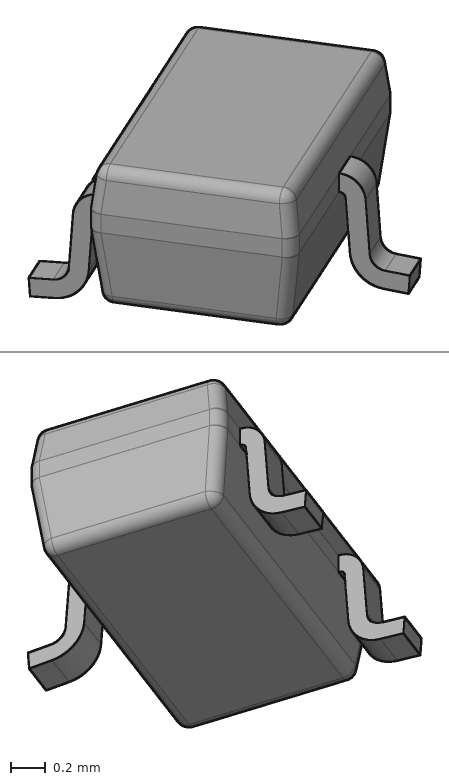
import cadquery as cq
import math

lead_span = 2.1
total_height = 1.0

body_width = 1.25
body_length = 2.0
body_standoff = 0.1
draft_angle = 7.0
edge_radius = 0.08

lead_thickness = 0.12
lead_width = 0.225
lead_pitch = 1.3
lead_top = 0.72
lead_tilt = 4.0
shoulder_radius = 0.16
ankle_radius = 0.1

belt_bottom = lead_top - lead_thickness


def make_housing():
    """Belt with a drafted block above and below, and all outer edges rounded."""
    def belt_outline(z):
        return cq.Workplane("XY").workplane(offset=z).rect(body_width, body_length)

    belt = belt_outline(belt_bottom).extrude(lead_thickness)
    upper = belt_outline(lead_top).extrude(total_height - lead_top, taper=draft_angle)
    lower = belt_outline(belt_bottom).extrude(body_standoff - belt_bottom, taper=draft_angle)
    block = belt.union(upper).union(lower)

    corner_edges = block.edges("not #Z")
    rim_edges = block.faces("<Z or >Z").edges()
    return corner_edges.add(rim_edges).fillet(edge_radius).solids()


def make_lead():
    """Right-hand lead centred on Y = 0: shoulder bend, leg, ankle bend, foot."""
    tilt = math.radians(lead_tilt)
    cos_t = math.cos(tilt)
    sin_t = math.sin(tilt)
    side = body_width / 2

    bend_run = shoulder_radius * cos_t + ankle_radius * (cos_t - sin_t)
    bend_drop = shoulder_radius * (1 - sin_t) + ankle_radius * (cos_t - sin_t)
    straight_run = lead_span / 2 - side - bend_run
    straight_drop = lead_top - bend_drop - lead_thickness * cos_t
    determinant = cos_t**2 - sin_t**2
    leg = (straight_drop * cos_t - straight_run * sin_t) / determinant
    foot = (straight_run * cos_t - straight_drop * sin_t) / determinant

    shoulder_x = side
    shoulder_z = lead_top - shoulder_radius
    ankle_x = shoulder_x + (shoulder_radius + ankle_radius) * cos_t + leg * sin_t
    ankle_z = shoulder_z + (shoulder_radius + ankle_radius) * sin_t - leg * cos_t

    def shoulder(radius, angle):
        return (shoulder_x + radius * math.cos(angle), shoulder_z + radius * math.sin(angle))

    def ankle(radius, angle):
        return (ankle_x + radius * math.cos(angle), ankle_z + radius * math.sin(angle))

    leg_angle = tilt
    up_angle = math.pi / 2
    shoulder_mid = (leg_angle + up_angle) / 2
    ankle_start = math.pi + tilt
    ankle_end = 1.5 * math.pi - tilt
    ankle_mid = (ankle_start + ankle_end) / 2
    shoulder_inner = shoulder_radius - lead_thickness
    ankle_outer = ankle_radius + lead_thickness

    foot_start_x, foot_start_z = ankle(ankle_radius, ankle_end)
    toe_top = (foot_start_x + foot * cos_t, foot_start_z - foot * sin_t)
    toe_bottom = (toe_top[0] - lead_thickness * sin_t, toe_top[1] - lead_thickness * cos_t)

    return (
        cq.Workplane("XZ")
        .moveTo(*shoulder(shoulder_radius, up_angle))
        .threePointArc(shoulder(shoulder_radius, shoulder_mid), shoulder(shoulder_radius, leg_angle))
        .lineTo(*ankle(ankle_radius, ankle_start))
        .threePointArc(ankle(ankle_radius, ankle_mid), ankle(ankle_radius, ankle_end))
        .lineTo(*toe_top)
        .lineTo(*toe_bottom)
        .lineTo(*ankle(ankle_outer, ankle_end))
        .threePointArc(ankle(ankle_outer, ankle_mid), ankle(ankle_outer, ankle_start))
        .lineTo(*shoulder(shoulder_inner, leg_angle))
        .threePointArc(shoulder(shoulder_inner, shoulder_mid), shoulder(shoulder_inner, up_angle))
        .close()
        .extrude(lead_width / 2, both=True)
    )


housing = make_housing()

lead_places = [(0, 0), (180, -lead_pitch / 2), (180, lead_pitch / 2)]
leads = []
for turn, y in lead_places:
    lead = make_lead().rotate((0, 0, 0), (0, 0, 1), turn).translate((0, y, 0))
    leads.append(lead.val())

result = cq.Compound.makeCompound([housing.val(), *leads])